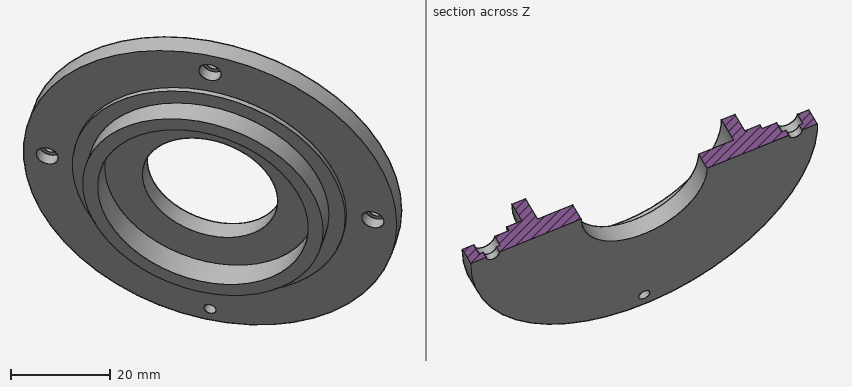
import cadquery as cq

flange_diameter = 78.0
flange_thickness = 4.0
shoulder_diameter = 57.0
shoulder_height = 1.0
rim_diameter = 50.2
rim_height = 4.5
total_height = flange_thickness + shoulder_height + rim_height

recess_diameter = 44.0
recess_depth = 5.5
bore_diameter = 28.2

screw_hole_diameter = 2.9
screw_head_diameter = 4.6
screw_head_depth = 2.5
screw_circle_radius = 34.0
pin_hole_diameter = 2.5
pin_circle_radius = 35.7


def cylinder(diameter, start, height, x=0, z=0):
    """Cylinder along -Y that starts the given distance in front of the back face."""
    return (
        cq.Workplane("XZ", origin=(0, -start, 0))
        .center(x, z)
        .circle(diameter / 2)
        .extrude(height)
    )


result = cylinder(flange_diameter, 0, flange_thickness)
result = result.union(cylinder(shoulder_diameter, 0, flange_thickness + shoulder_height))
result = result.union(cylinder(rim_diameter, 0, total_height))

result = result.cut(cylinder(recess_diameter, total_height - recess_depth, recess_depth))
result = result.cut(cylinder(bore_diameter, 0, total_height))

screw_positions = [
    (-screw_circle_radius, 0),
    (screw_circle_radius, 0),
    (0, screw_circle_radius),
]
for x, z in screw_positions:
    result = result.cut(cylinder(screw_hole_diameter, 0, flange_thickness, x, z))
    head_start = flange_thickness - screw_head_depth
    result = result.cut(cylinder(screw_head_diameter, head_start, screw_head_depth, x, z))

result = result.cut(cylinder(pin_hole_diameter, 0, flange_thickness, 0, -pin_circle_radius))